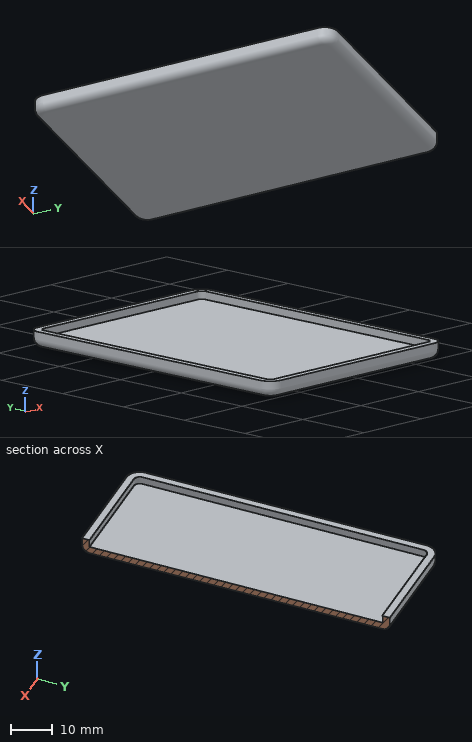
import cadquery as cq

width = 60.0
length = 80.0
height = 4.0
corner_radius = 3.5
bottom_fillet = 2.0

rim_width = 2.0
recess_depth = 2.0
recess_corner_radius = corner_radius - rim_width


def rounded_plate(size_x, size_y, thickness, radius):
    """Plate standing on Z = 0 with rounded vertical corners."""
    plate = cq.Workplane("XY").rect(size_x, size_y).extrude(thickness)
    return plate.edges("|Z").fillet(radius)


body = rounded_plate(width, length, height, corner_radius)
body = body.faces("<Z").edges().fillet(bottom_fillet)

recess = rounded_plate(
    width - 2 * rim_width,
    length - 2 * rim_width,
    recess_depth,
    recess_corner_radius,
).translate((0, 0, height - recess_depth))

result = body.cut(recess)